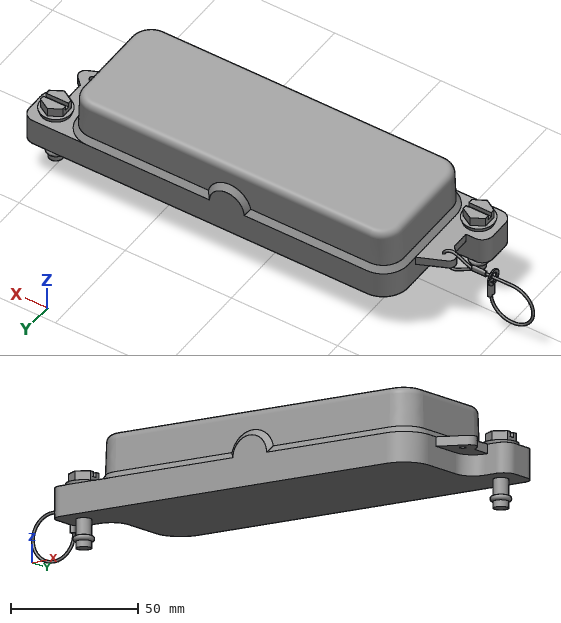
import cadquery as cq
import math

BASE_LENGTH = 155.5
BASE_WIDTH = 58.0
BASE_HEIGHT = 12.4
BASE_CORNER = 11.7

SHOULDER_TOP = 15.0
SHOULDER_INSET = 2.0

CAP_TOP = 31.5
CAP_DRAFT = 2.0
CAP_EDGE_RADIUS = 3.2

BUMP_RADIUS = 8.0
BUMP_DEPTH = 3.2
BUMP_FLARE = 1.1

EAR_END = 96.5
EAR_WIDTH = 19.1
EAR_CORNER = 5.2
EAR_ROOT_RADIUS = 8.0

TAB_THICKNESS = 3.8
TAB_NECK_X = 87.0
TAB_TIP_X = 88.2
TAB_TIP_Y = -4.0
TAB_TIP_RADIUS = 3.2
TAB_EAR_SIDE_ANGLE = 45.0
TAB_FAR_SIDE_ANGLE = 66.5
TAB_HOLE_X = 85.0
TAB_HOLE_DIAMETER = 2.5

SCREW_X = 86.8
SCREW_Y = 19.4
SCREW_DIAMETER = 6.3
SCREW_BOTTOM = -11.7
FLANGE_TOP_RADIUS = 7.2
FLANGE_BOTTOM_RADIUS = 6.5
FLANGE_HEIGHT = 2.0
HEAD_ACROSS_FLATS = 10.5
HEAD_TOP = 18.5
SLOT_WIDTH = 2.0
SLOT_DEPTH = 2.0
RING_Z = -7.9
RING_SECTION_RADIUS = 1.1
RING_MIDDLE_RADIUS = 3.2

WIRE_RADIUS = 0.56
TETHER_Y = -TAB_TIP_Y
NOOSE_LEFT = -128.5
NOOSE_RADIUS = 10.0
NOOSE_TOP = 11.5
EYELET_OUTER_RADIUS = 3.5
EYELET_INNER_RADIUS = 2.2
EYELET_THICKNESS = 0.7
EYELET_X = -109.1
FERRULE_START = -105.8
FERRULE_LENGTH = 6.5
FERRULE_LONG = 2.7
FERRULE_SHORT = 1.4
END_FERRULE_BOTTOM = 1.8
END_FERRULE_LENGTH = 6.8
END_FERRULE_LONG = 3.8
END_FERRULE_SHORT = 1.8
TAB_EYE_RADIUS = 4.5
TAB_EYE_X = -90.0
TAB_EYE_Z = 10.8

BASE_HALF_LENGTH = BASE_LENGTH / 2
BASE_HALF_WIDTH = BASE_WIDTH / 2
EAR_INNER_Y = BASE_HALF_WIDTH - EAR_WIDTH
INSIDE_X = BASE_HALF_LENGTH - BASE_CORNER


def rounded_plate(length, width, corner, bottom, height, draft):
    outline = cq.Sketch().rect(length, width).vertices().fillet(corner)
    return cq.Workplane("XY", origin=(0, 0, bottom)).placeSketch(outline).extrude(height, taper=draft)


def cover():
    shoulder_height = SHOULDER_TOP - BASE_HEIGHT
    shoulder_slope = math.degrees(math.atan2(SHOULDER_INSET, shoulder_height))
    base = rounded_plate(BASE_LENGTH, BASE_WIDTH, BASE_CORNER, 0, BASE_HEIGHT, 0)
    shoulder = rounded_plate(
        BASE_LENGTH, BASE_WIDTH, BASE_CORNER, BASE_HEIGHT, shoulder_height, shoulder_slope
    )
    cap = rounded_plate(
        BASE_LENGTH - 2 * SHOULDER_INSET,
        BASE_WIDTH - 2 * SHOULDER_INSET,
        BASE_CORNER - SHOULDER_INSET,
        SHOULDER_TOP,
        CAP_TOP - SHOULDER_TOP,
        CAP_DRAFT,
    )
    cap = cap.faces(">Z").edges().fillet(CAP_EDGE_RADIUS)
    return base.union(shoulder).union(cap)


def bump(side):
    """Cone that widens from the long side (side is -1 or 1) into the cap wall."""
    cone = cq.Solid.makeCone(
        BUMP_RADIUS,
        BUMP_RADIUS + BUMP_DEPTH * BUMP_FLARE,
        BUMP_DEPTH,
        pnt=cq.Vector(0, side * BASE_HALF_WIDTH, BASE_HEIGHT),
        dir=cq.Vector(0, -side, 0),
    )
    above_base = cq.Workplane("XY", origin=(0, 0, BASE_HEIGHT)).box(
        BASE_LENGTH, BASE_WIDTH, CAP_TOP, centered=(True, True, False)
    )
    return above_base.intersect(cq.Workplane(cone))


def ear():
    """Full-height ear at the +X +Y corner, with a hollow round root."""
    return (
        cq.Workplane("XY")
        .moveTo(INSIDE_X, BASE_HALF_WIDTH)
        .lineTo(EAR_END - EAR_CORNER, BASE_HALF_WIDTH)
        .radiusArc((EAR_END, BASE_HALF_WIDTH - EAR_CORNER), EAR_CORNER)
        .lineTo(EAR_END, EAR_INNER_Y + EAR_CORNER)
        .radiusArc((EAR_END - EAR_CORNER, EAR_INNER_Y), EAR_CORNER)
        .lineTo(BASE_HALF_LENGTH + EAR_ROOT_RADIUS, EAR_INNER_Y)
        .radiusArc((BASE_HALF_LENGTH, EAR_INNER_Y - EAR_ROOT_RADIUS), -EAR_ROOT_RADIUS)
        .lineTo(INSIDE_X, EAR_INNER_Y - EAR_ROOT_RADIUS)
        .close()
        .extrude(BASE_HEIGHT)
    )


def tab_tip_point(degrees):
    angle = math.radians(degrees)
    return (
        TAB_TIP_X + TAB_TIP_RADIUS * math.cos(angle),
        TAB_TIP_Y + TAB_TIP_RADIUS * math.sin(angle),
    )


def tab():
    """Thin tab on the +X end; both of its slanted sides run tangent to the round tip."""
    upper = tab_tip_point(TAB_EAR_SIDE_ANGLE)
    lower = tab_tip_point(-TAB_FAR_SIDE_ANGLE)
    neck_y = upper[1] + (upper[0] - TAB_NECK_X) / math.tan(math.radians(TAB_EAR_SIDE_ANGLE))
    far_y = lower[1] - (lower[0] - INSIDE_X) / math.tan(math.radians(TAB_FAR_SIDE_ANGLE))
    return (
        cq.Workplane("XY", origin=(0, 0, BASE_HEIGHT - TAB_THICKNESS))
        .moveTo(INSIDE_X, EAR_INNER_Y)
        .lineTo(TAB_NECK_X, EAR_INNER_Y)
        .lineTo(TAB_NECK_X, neck_y)
        .lineTo(*upper)
        .threePointArc(tab_tip_point(0), lower)
        .lineTo(INSIDE_X, far_y)
        .close()
        .extrude(TAB_THICKNESS)
    )


def tab_hole():
    """Tether hole through the right tab; on the left tab the wire fills it."""
    return (
        cq.Workplane("XY")
        .center(TAB_HOLE_X, TAB_TIP_Y)
        .circle(TAB_HOLE_DIAMETER / 2)
        .extrude(BASE_HEIGHT)
    )


def screw():
    """Slotted hexagon screw with a flared flange and a round retaining ring."""
    shank = cq.Workplane("XY", origin=(0, 0, SCREW_BOTTOM)).circle(SCREW_DIAMETER / 2)
    shank = shank.extrude(BASE_HEIGHT - SCREW_BOTTOM)
    ring = cq.Workplane(
        cq.Solid.makeTorus(RING_MIDDLE_RADIUS, RING_SECTION_RADIUS, pnt=cq.Vector(0, 0, RING_Z))
    )
    flange = cq.Workplane(
        cq.Solid.makeCone(
            FLANGE_BOTTOM_RADIUS, FLANGE_TOP_RADIUS, FLANGE_HEIGHT, pnt=cq.Vector(0, 0, BASE_HEIGHT)
        )
    )
    head_height = HEAD_TOP - BASE_HEIGHT
    on_base = cq.Workplane("XY", origin=(0, 0, BASE_HEIGHT))
    head = on_base.polygon(6, HEAD_ACROSS_FLATS, circumscribed=True).extrude(head_height)
    slot = cq.Workplane("XY", origin=(0, 0, HEAD_TOP - SLOT_DEPTH)).box(
        2 * FLANGE_TOP_RADIUS, SLOT_WIDTH, SLOT_DEPTH, centered=(True, True, False)
    )
    head = head.cut(slot)
    return shank.union(ring).union(flange).union(head).translate((SCREW_X, SCREW_Y, 0))


def wire_along(path, start, direction):
    section = cq.Workplane(cq.Plane(origin=start, xDir=(0, 1, 0), normal=direction))
    return section.circle(WIRE_RADIUS).sweep(path)


def noose():
    """Straight wire, three quarters of a circle, a crimped end and an eyelet round the wire."""
    centre_x = NOOSE_LEFT + WIRE_RADIUS + NOOSE_RADIUS
    centre_z = NOOSE_TOP - NOOSE_RADIUS
    right_x = centre_x + NOOSE_RADIUS
    diagonal = NOOSE_RADIUS * math.sqrt(0.5)
    end_ferrule_top = END_FERRULE_BOTTOM + END_FERRULE_LENGTH
    path = (
        cq.Workplane("XZ", origin=(0, TETHER_Y, 0))
        .moveTo(FERRULE_START + FERRULE_LENGTH, NOOSE_TOP)
        .lineTo(centre_x, NOOSE_TOP)
        .threePointArc((centre_x - diagonal, centre_z - diagonal), (right_x, centre_z))
        .lineTo(right_x, end_ferrule_top)
    )
    wire = wire_along(path, (FERRULE_START + FERRULE_LENGTH, TETHER_Y, NOOSE_TOP), (-1, 0, 0))
    end_ferrule = (
        cq.Workplane("XY", origin=(right_x, TETHER_Y, END_FERRULE_BOTTOM))
        .slot2D(END_FERRULE_LONG, END_FERRULE_SHORT, 90)
        .extrude(END_FERRULE_LENGTH)
    )
    eyelet = (
        cq.Workplane("YZ", origin=(EYELET_X, TETHER_Y, NOOSE_TOP))
        .circle(EYELET_OUTER_RADIUS)
        .circle(EYELET_INNER_RADIUS)
        .extrude(EYELET_THICKNESS / 2, both=True)
    )
    return wire.union(end_ferrule).union(eyelet)


def tab_eye():
    """Drop-shaped wire eye looped from the ferrule through the left tab."""
    apex_x = FERRULE_START + FERRULE_LENGTH
    half_angle = math.asin(TAB_EYE_RADIUS / (TAB_EYE_X - apex_x))
    tangent_x = TAB_EYE_X - TAB_EYE_RADIUS * math.sin(half_angle)
    tangent_rise = TAB_EYE_RADIUS * math.cos(half_angle)
    direction = (math.cos(half_angle), 0, math.sin(half_angle))
    path = (
        cq.Workplane("XZ", origin=(0, TETHER_Y, 0))
        .moveTo(apex_x, TAB_EYE_Z)
        .lineTo(tangent_x, TAB_EYE_Z + tangent_rise)
        .threePointArc(
            (TAB_EYE_X + TAB_EYE_RADIUS, TAB_EYE_Z), (tangent_x, TAB_EYE_Z - tangent_rise)
        )
        .lineTo(apex_x, TAB_EYE_Z)
    )
    return wire_along(path, (apex_x, TETHER_Y, TAB_EYE_Z), direction)


def ferrule():
    return (
        cq.Workplane("YZ", origin=(FERRULE_START, TETHER_Y, NOOSE_TOP))
        .slot2D(FERRULE_LONG, FERRULE_SHORT, 90)
        .extrude(FERRULE_LENGTH)
    )


end = ear().union(tab()).union(screw())
result = cover().union(bump(-1)).union(bump(1))
result = result.union(end).union(end.rotate((0, 0, 0), (0, 0, 1), 180)).cut(tab_hole())
result = result.union(noose()).union(ferrule()).union(tab_eye())